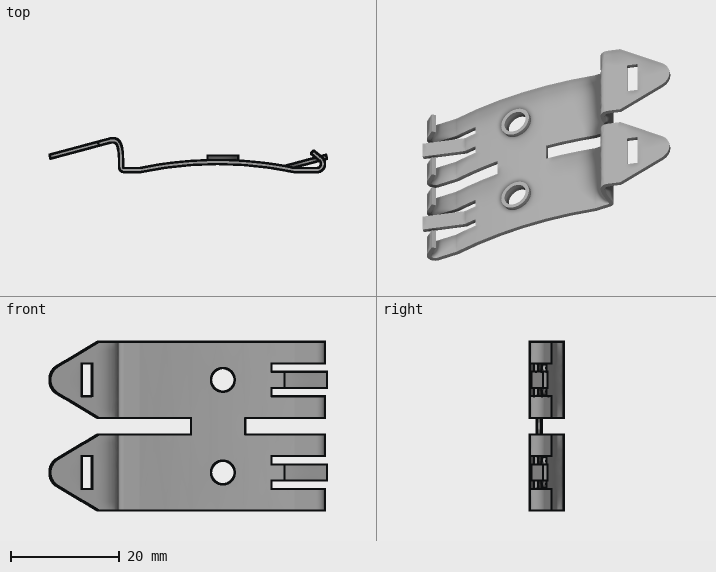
import cadquery as cq
import math

thickness = 0.8
height = 31.0
arm_height = 14.0
arm_gap = height - 2 * arm_height
arm_offset = (height - arm_gap) / 4 + arm_gap / 2
arm_centers = (-arm_offset, arm_offset)
overall_length = 51.03
cut_depth = 10.0

tab_tilt = 15.0
tab_taper = 30.0
tab_tip_radius = 2.9
tab_slot_width = 2.0
tab_slot_height = 6.0
tab_slot_center = 7.0

crest_x = 11.22
crest_y = 5.43
wall_x = 12.8
lower_crest_handle = 1.65
lower_wall_handle = 3.2
upper_crest_handle = 2.75
upper_wall_handle = 2.67
foot_inner_radius = 0.2

arch_start_x = 16.65
arch_end_x = 45.1
arch_rise = 1.5

hook_center_x = 49.1
hook_inner_radius = 0.75
hook_bend = 140.0
hook_straight = 2.05

left_slot_end_x = 26.0
right_slot_start_x = 36.0

tongue_height = 3.0
tongue_window_height = 6.0
tongue_root_x = 40.8
tongue_kink_x = 43.2
tongue_tilt = 15.0

hole_x = 31.87
hole_diameter = 4.3
collar_diameter = 5.7
collar_top = 3.1


def polar(center, radius, angle):
    """Point at the given radius and angle (degrees) around a center."""
    a = math.radians(angle)
    return (center[0] + radius * math.cos(a), center[1] + radius * math.sin(a))


foot_outer_radius = foot_inner_radius + thickness
hook_outer_radius = hook_inner_radius + thickness
foot_center = (wall_x + foot_outer_radius, foot_outer_radius)
hook_center = (hook_center_x, hook_outer_radius)

arch_half = (arch_end_x - arch_start_x) / 2
arch_lower_radius = (arch_half**2 + arch_rise**2) / (2 * arch_rise)
arch_upper_radius = arch_lower_radius + thickness
arch_center = (arch_start_x + arch_half, arch_rise - arch_lower_radius)
arch_upper_half = math.sqrt(arch_upper_radius**2 - (thickness - arch_center[1]) ** 2)

crest_lower = (crest_x, crest_y)
crest_upper = polar(crest_lower, thickness, 90 + tab_tilt)
hook_end = hook_bend - 90


def arch_point(x, radius):
    """Point of the arch face with the given radius at position x."""
    dx = x - arch_center[0]
    return (x, arch_center[1] + math.sqrt(radius**2 - dx**2))


def block(x_start, x_end, z_center, z_size):
    """Cutting block through the full depth of the part."""
    y_size = 2 * cut_depth
    return cq.Workplane("XY").box(x_end - x_start, y_size, z_size).translate(
        ((x_start + x_end) / 2, 0, z_center)
    )


def make_body():
    """Bent strip from the crest to the hooks, over the full height."""
    lip_outer = polar(polar(hook_center, hook_outer_radius, hook_end), hook_straight, hook_bend)
    lip_inner = polar(polar(hook_center, hook_inner_radius, hook_end), hook_straight, hook_bend)
    foot_mid = 225
    hook_mid = (hook_end - 90) / 2
    return (
        cq.Workplane("XY", origin=(0, 0, -height / 2))
        .moveTo(*crest_lower)
        .bezier(
            [
                crest_lower,
                polar(crest_lower, lower_crest_handle, tab_tilt),
                (wall_x, foot_center[1] + lower_wall_handle),
                (wall_x, foot_center[1]),
            ]
        )
        .threePointArc(polar(foot_center, foot_outer_radius, foot_mid), (foot_center[0], 0))
        .lineTo(arch_start_x, 0)
        .threePointArc((arch_center[0], arch_rise), (arch_end_x, 0))
        .lineTo(hook_center_x, 0)
        .threePointArc(
            polar(hook_center, hook_outer_radius, hook_mid), polar(hook_center, hook_outer_radius, hook_end)
        )
        .lineTo(*lip_outer)
        .lineTo(*lip_inner)
        .lineTo(*polar(hook_center, hook_inner_radius, hook_end))
        .threePointArc(polar(hook_center, hook_inner_radius, hook_mid), (hook_center_x, thickness))
        .lineTo(arch_center[0] + arch_upper_half, thickness)
        .threePointArc(
            (arch_center[0], arch_rise + thickness), (arch_center[0] - arch_upper_half, thickness)
        )
        .lineTo(foot_center[0], thickness)
        .threePointArc(
            polar(foot_center, foot_inner_radius, foot_mid), polar(foot_center, foot_inner_radius, 180)
        )
        .bezier(
            [
                (wall_x + thickness, foot_center[1]),
                (wall_x + thickness, foot_center[1] + upper_wall_handle),
                polar(crest_upper, upper_crest_handle, tab_tilt),
                crest_upper,
            ]
        )
        .close()
        .extrude(height)
    )


def make_tab(z_center):
    """Tapered, slotted tab lying in the tilted plane tangent to the crest."""
    tilt = math.radians(tab_tilt)
    taper = math.radians(tab_taper)
    tab_length = crest_upper[0] / math.cos(tilt)
    half = arm_height / 2
    shoulder = half / math.tan(taper) - tab_tip_radius * (1 / math.sin(taper) - 1)
    tangent_s = tab_tip_radius * (1 - math.sin(taper))
    tangent_z = tab_tip_radius * math.cos(taper)
    tip = polar(crest_lower, tab_length, 180 + tab_tilt)
    plane = cq.Plane(
        origin=(tip[0], tip[1], z_center),
        xDir=(math.cos(tilt), math.sin(tilt), 0),
        normal=(-math.sin(tilt), math.cos(tilt), 0),
    )
    tab = (
        cq.Workplane(plane)
        .moveTo(tab_length, half)
        .lineTo(shoulder, half)
        .lineTo(tangent_s, tangent_z)
        .threePointArc((0, 0), (tangent_s, -tangent_z))
        .lineTo(shoulder, -half)
        .lineTo(tab_length, -half)
        .close()
        .extrude(thickness)
    )
    slot = (
        cq.Workplane(plane)
        .center(tab_slot_center, 0)
        .rect(tab_slot_width, tab_slot_height)
        .extrude(thickness)
    )
    return tab.cut(slot)


def make_tongue(z_center):
    """Strip that follows the arch from its root, then kinks away to +Y."""
    tilt = math.radians(tongue_tilt)
    kink_lower = arch_point(tongue_kink_x, arch_lower_radius)
    arch_slope = math.asin((tongue_kink_x - arch_center[0]) / arch_lower_radius)
    miter = thickness * math.tan((tilt - arch_slope) / 2)
    kink_upper = arch_point(tongue_kink_x - miter, arch_upper_radius)
    tip_lower = (overall_length, kink_lower[1] + (overall_length - tongue_kink_x) * math.tan(tilt))
    tip_upper = polar(tip_lower, thickness, 90 + tongue_tilt)
    mid_x = (tongue_root_x + tongue_kink_x) / 2
    return (
        cq.Workplane("XY", origin=(0, 0, z_center - tongue_height / 2))
        .moveTo(*arch_point(tongue_root_x, arch_lower_radius))
        .threePointArc(arch_point(mid_x, arch_lower_radius), kink_lower)
        .lineTo(*tip_lower)
        .lineTo(*tip_upper)
        .lineTo(*kink_upper)
        .threePointArc(
            arch_point(mid_x, arch_upper_radius), arch_point(tongue_root_x, arch_upper_radius)
        )
        .close()
        .extrude(tongue_height)
    )


def cylinder(diameter, y_start, y_end, z_center):
    """Cylinder along Y on the axis of a hole."""
    return cq.Workplane(
        cq.Solid.makeCylinder(
            diameter / 2, y_end - y_start, cq.Vector(hole_x, y_start, z_center), cq.Vector(0, 1, 0)
        )
    )


body = make_body()
body = body.cut(block(0, left_slot_end_x, 0, arm_gap))
body = body.cut(block(right_slot_start_x, overall_length, 0, arm_gap))

collar_base = arch_rise + thickness / 2
for z in arm_centers:
    body = body.union(make_tab(z))
    body = body.cut(block(tongue_root_x, overall_length, z, tongue_window_height))
    body = body.union(make_tongue(z))
    body = body.union(cylinder(collar_diameter, collar_base, collar_top, z))
    body = body.cut(cylinder(hole_diameter, 0, cut_depth, z))

result = body